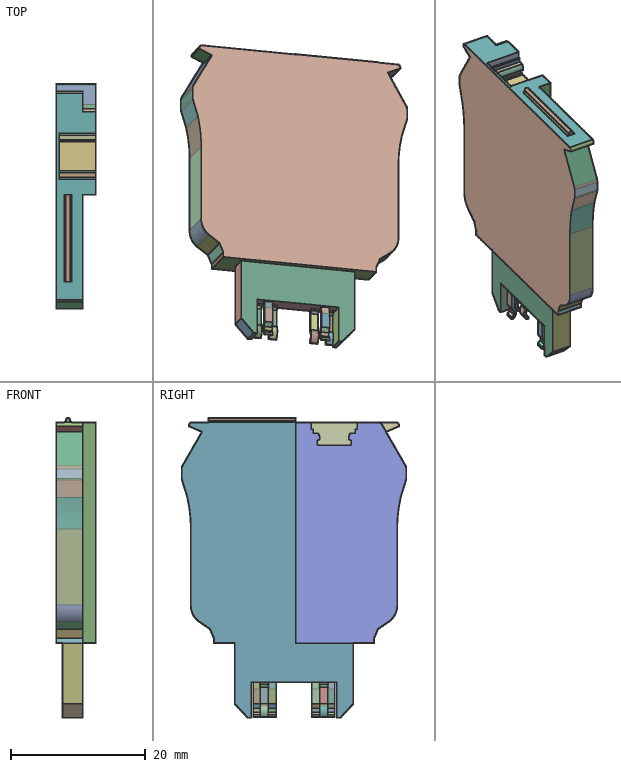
import cadquery as cq
import math

total_height = 44.6
total_width = 33.4
body_thickness = 3.95
full_thickness = 5.95
half_width = total_width / 2

body_bottom = 11.1
body_top = 43.9
foot_half = 11.9
foot_top = 11.8
shoulder_half = 12.5
shoulder_height = 13.2
corner_radius = 2.9
corner_half = 14.2
corner_height = 14.35
side_half = 15.35
side_bottom = 16.85
side_top = 28.1
flare_half = 15.87
flare_height = 32.8
bulge_bottom = 35.5
bulge_top = 37.28
bulge_round = 0.9
notch_half = 13.7
notch_height = 42.5
lip_half = 15.65
lip_bottom = 43.35
lip_top_half = 15.35
lip_radius = 0.7

strip_start = 0.22
strip_end_top = 12.57
strip_end_half = 13.0
strip_end_height = 43.7

groove_wall = 0.45
groove_center = 5.98
groove_half = 3.45
ledge_half = 3.1
nose_half = 2.2
nose_edge_half = 2.45
nose_radius = 1.0
recess_half = 2.55
upper_ledge_height = 42.9
lower_ledge_height = 42.3
nose_bottom = 41.4
recess_top = 41.2
groove_floor = 40.5
floor_half = 2.27
floor_slope_top = 40.6

rib_center = 1.8
rib_base_half = 0.6
rib_half = 0.3
rib_base_top = 44.15
rib_start = -12.7
rib_end = 0.22

plug_start = 0.95
plug_middle = (plug_start + body_thickness) / 2
plug_half = 8.85
plug_chamfer_width = 1.95
plug_chamfer_height = 2.1
socket_half = 6.35
socket_top = 5.3

contact_outer = 6.05
contact_inner = 2.65
middle_outer = 5.05
middle_inner = 3.8
finger_gap_half = 0.6
finger_thickness = 0.55
finger_root = 0.22
root_offset = 0.2
root_bottom_inside = 4.6
root_bottom_outside = 4.33
root_top = 5.05
finger_bend = 2.1
bump_depth = 0.25
bump_start_depth = 0.2
bump_start = 1.85
bump_height = 1.05
bump_tip_offset = 0.25
neck_offset = 0.15
neck_top = 1.43
neck_bottom = 0.85
foot_offset = 0.55
foot_top_height = 0.5
finger_bottom = 0.15


def extrude_x(sketch, start, end):
    """Extrude a closed YZ outline from X = start to X = end."""
    return sketch.extrude(end - start).translate((start, 0, 0))


def half_outline():
    """Closed YZ outline of the +Y half of the housing."""
    flare_angle = 2 * math.atan((flare_half - side_half) / (flare_height - side_top))
    flare_radius = (flare_height - side_top) / math.sin(flare_angle)
    flare_mid = (
        side_half + flare_radius * (1 - math.cos(flare_angle / 2)),
        side_top + flare_radius * math.sin(flare_angle / 2),
    )
    return (
        cq.Workplane("YZ")
        .moveTo(0, body_bottom)
        .lineTo(foot_half, body_bottom)
        .lineTo(foot_half, foot_top)
        .lineTo(shoulder_half, shoulder_height)
        .lineTo(corner_half, corner_height)
        .radiusArc((side_half, side_bottom), -corner_radius)
        .lineTo(side_half, side_top)
        .threePointArc(flare_mid, (flare_half, flare_height))
        .lineTo(half_width, bulge_bottom)
        .lineTo(half_width, bulge_top)
        .lineTo(notch_half, notch_height)
        .lineTo(lip_half, lip_bottom)
        .radiusArc((lip_top_half, body_top), -lip_radius)
        .lineTo(0, body_top)
        .close()
    )


def housing():
    """Plate over the whole outline, with the thick strip on its +X face."""
    half = half_outline().extrude(full_thickness)
    for height in (bulge_bottom, bulge_top):
        corner = cq.selectors.NearestToPointSelector((full_thickness / 2, half_width, height))
        half = half.edges(corner).fillet(bulge_round)
    block = half.union(half.mirror("XZ"))
    thin = block.intersect(
        cq.Workplane("XY").box(body_thickness, total_width, total_height, centered=(False, True, False))
    )
    strip_limit = extrude_x(
        cq.Workplane("YZ").polyline([
            (strip_start, body_bottom),
            (half_width, body_bottom),
            (half_width, bulge_top),
            (notch_half, notch_height),
            (strip_end_half, strip_end_height),
            (strip_end_top, body_top),
            (strip_start, body_top),
        ]).close(),
        body_thickness, full_thickness,
    )
    return thin.union(block.intersect(strip_limit))


def groove_half_outline():
    """Closed YZ outline of the +Y half of the groove, about its own centre plane."""
    return (
        cq.Workplane("YZ")
        .moveTo(0, groove_floor)
        .lineTo(floor_half, groove_floor)
        .lineTo(recess_half, floor_slope_top)
        .lineTo(recess_half, recess_top)
        .lineTo(nose_half, nose_bottom)
        .radiusArc((nose_edge_half, lower_ledge_height), nose_radius)
        .lineTo(ledge_half, lower_ledge_height)
        .lineTo(ledge_half, upper_ledge_height)
        .lineTo(groove_half, upper_ledge_height)
        .lineTo(groove_half, body_top)
        .lineTo(0, body_top)
        .close()
    )


def groove():
    """Stepped groove with a round undercut nose on each wall."""
    half = extrude_x(groove_half_outline(), groove_wall, full_thickness)
    return half.union(half.mirror("XZ")).translate((0, groove_center, 0))


def rib():
    """Round-topped rib on the top face, with a flared base."""
    round_center = total_height - rib_half
    return (
        cq.Workplane("XZ", origin=(rib_center, rib_end, 0))
        .moveTo(-rib_base_half, body_top)
        .lineTo(rib_base_half, body_top)
        .lineTo(rib_half, rib_base_top)
        .lineTo(rib_half, round_center)
        .threePointArc((0, total_height), (-rib_half, round_center))
        .lineTo(-rib_half, rib_base_top)
        .close()
        .extrude(rib_end - rib_start)
    )


def plug():
    """Plug plate with a socket open at the bottom and chamfered outer corners."""
    half = [
        (socket_half, socket_top),
        (socket_half, 0),
        (plug_half - plug_chamfer_width, 0),
        (plug_half, plug_chamfer_height),
        (plug_half, body_bottom),
    ]
    other_half = [(-y, z) for y, z in reversed(half)]
    return extrude_x(cq.Workplane("YZ").polyline(half + other_half).close(), plug_start, body_thickness)


def finger(side, start, end):
    """Spring finger from Y = start to end; side is the X direction from the middle of the plug to it."""
    def at(offset, height):
        return (plug_middle + side * (finger_gap_half + offset), height)

    buried = socket_top + finger_root
    return (
        cq.Workplane("XZ", origin=(0, end, 0))
        .moveTo(*at(-root_offset, buried))
        .lineTo(*at(-root_offset, root_top))
        .lineTo(*at(0, root_bottom_inside))
        .lineTo(*at(0, finger_bend))
        .lineTo(*at(-bump_start_depth, bump_start))
        .threePointArc(at(-bump_depth, bump_height), at(bump_tip_offset, finger_bottom))
        .lineTo(*at(foot_offset, finger_bottom))
        .lineTo(*at(foot_offset, foot_top_height))
        .lineTo(*at(neck_offset, neck_bottom))
        .lineTo(*at(neck_offset, neck_top))
        .lineTo(*at(finger_thickness, finger_bend))
        .lineTo(*at(finger_thickness, root_bottom_outside))
        .lineTo(*at(finger_thickness - root_offset, socket_top))
        .lineTo(*at(finger_thickness - root_offset, buried))
        .close()
        .extrude(end - start)
    )


def contact():
    """Contact in the +Y end of the socket: one finger facing two."""
    return (
        finger(-1, middle_inner, middle_outer)
        .union(finger(1, contact_inner, middle_inner))
        .union(finger(1, middle_outer, contact_outer))
    )


result = housing().cut(groove()).union(rib()).union(plug())
result = result.union(contact()).union(contact().mirror("XZ"))